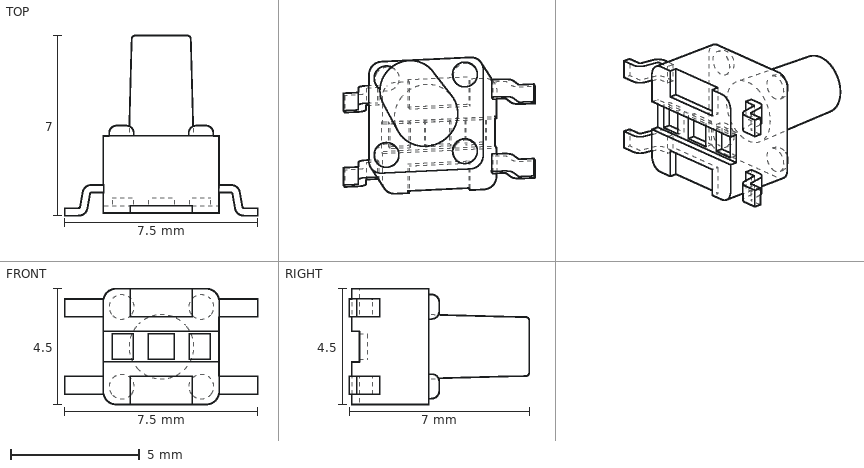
import cadquery as cq
import math


HOUSING_SIDE = 4.5
HOUSING_DEPTH = 3.0
HOUSING_CORNER_RADIUS = 0.5

RECESS_DEPTH = 0.3
EDGE_NOTCH_WIDTH = 2.4
EDGE_NOTCH_HEIGHT = 1.1
GROOVE_HEIGHT = 1.185
POCKET_DEPTH = 0.3
POCKET_HEIGHT = 0.99
MIDDLE_POCKET_WIDTH = 1.0
SIDE_POCKET_WIDTH = 0.81
SIDE_POCKET_OFFSET = 1.5

PLUNGER_LENGTH = 3.9
PLUNGER_BASE_DIAMETER = 2.505
PLUNGER_TIP_DIAMETER = 2.295
PLUNGER_TIP_FILLET = 0.15

RIVET_DIAMETER = 0.96
RIVET_HEIGHT = 0.405
RIVET_FILLET = 0.3
RIVET_OFFSET = 1.545

LEAD_SPAN = 7.5
LEAD_THICKNESS = 0.3
LEAD_WIDTH = 0.705
LEAD_OFFSET_Z = 1.5
LEAD_HEIGHT = 1.2
LEAD_STANDOFF = 0.1
LEAD_ROOT_LENGTH = 0.46
LEAD_INNER_BEND_RADIUS = 0.05
LEAD_BEND_ANGLE = math.radians(80)

HALF_SIDE = HOUSING_SIDE / 2
SIGNS = (-1, 1)


def make_block():
    """Square block with its four edges along Y rounded."""
    block = cq.Workplane("XY").box(HOUSING_SIDE, HOUSING_DEPTH, HOUSING_SIDE, centered=(True, False, True))
    return block.edges("|Y").fillet(HOUSING_CORNER_RADIUS)


def make_recess(width, height, x, z, floor_y):
    """Box that cuts from the mounting face up to floor_y, centred at (x, z)."""
    return cq.Workplane("XY").box(width, floor_y, height, centered=(True, False, True)).translate((x, 0, z))


def cut_mounting_face(housing):
    """Cut two edge notches, a groove right across and three pockets in the groove floor."""
    notch_z = HALF_SIDE - EDGE_NOTCH_HEIGHT / 2
    for sign in SIGNS:
        housing = housing.cut(make_recess(EDGE_NOTCH_WIDTH, EDGE_NOTCH_HEIGHT, 0, sign * notch_z, RECESS_DEPTH))

    housing = housing.cut(make_recess(HOUSING_SIDE, GROOVE_HEIGHT, 0, 0, RECESS_DEPTH))

    pockets = (
        (-SIDE_POCKET_OFFSET, SIDE_POCKET_WIDTH),
        (0, MIDDLE_POCKET_WIDTH),
        (SIDE_POCKET_OFFSET, SIDE_POCKET_WIDTH),
    )
    for x, width in pockets:
        housing = housing.cut(make_recess(width, POCKET_HEIGHT, x, 0, RECESS_DEPTH + POCKET_DEPTH))
    return housing


def make_plunger():
    """Tapered round plunger with a rounded tip."""
    tip_y = HOUSING_DEPTH + PLUNGER_LENGTH
    profile = (
        cq.Workplane("XY")
        .moveTo(0, HOUSING_DEPTH)
        .lineTo(PLUNGER_BASE_DIAMETER / 2, HOUSING_DEPTH)
        .lineTo(PLUNGER_TIP_DIAMETER / 2, tip_y)
        .lineTo(0, tip_y)
        .close()
    )
    plunger = profile.revolve(360, (0, 0, 0), (0, 1, 0))
    return plunger.faces(">Y").edges().fillet(PLUNGER_TIP_FILLET)


def make_rivet(x, z):
    """Short round head with a domed rim, standing on the plunger side of the housing."""
    rivet = (
        cq.Workplane("XZ", origin=(x, HOUSING_DEPTH, z))
        .circle(RIVET_DIAMETER / 2)
        .extrude(-RIVET_HEIGHT)
    )
    return rivet.faces(">Y").edges().fillet(RIVET_FILLET)


def make_housing():
    """Block, plunger and four rivet heads as one solid."""
    housing = cut_mounting_face(make_block()).union(make_plunger())
    for x_sign in SIGNS:
        for z_sign in SIGNS:
            housing = housing.union(make_rivet(x_sign * RIVET_OFFSET, z_sign * RIVET_OFFSET))
    return housing


def make_lead(side, z, housing):
    """Gull-wing strip swept along its centre line; its root is trimmed to fit the housing surface."""
    bend_radius = LEAD_INNER_BEND_RADIUS + LEAD_THICKNESS / 2
    bend_run = bend_radius * math.sin(LEAD_BEND_ANGLE)
    bend_drop = bend_radius * (1 - math.cos(LEAD_BEND_ANGLE))
    half_bend_run = bend_radius * math.sin(LEAD_BEND_ANGLE / 2)
    half_bend_drop = bend_radius * (1 - math.cos(LEAD_BEND_ANGLE / 2))

    foot_y = LEAD_THICKNESS / 2 - LEAD_STANDOFF
    root_y = foot_y + LEAD_HEIGHT - LEAD_THICKNESS
    leg_drop = root_y - foot_y - 2 * bend_drop
    leg_run = leg_drop / math.tan(LEAD_BEND_ANGLE)

    start_x = HALF_SIDE - HOUSING_CORNER_RADIUS
    upper_bend_x = HALF_SIDE + LEAD_ROOT_LENGTH
    lower_bend_x = upper_bend_x + 2 * bend_run + leg_run

    centre_line = (
        cq.Workplane("XY", origin=(0, 0, z))
        .moveTo(side * start_x, root_y)
        .lineTo(side * upper_bend_x, root_y)
        .threePointArc(
            (side * (upper_bend_x + half_bend_run), root_y - half_bend_drop),
            (side * (upper_bend_x + bend_run), root_y - bend_drop),
        )
        .lineTo(side * (lower_bend_x - bend_run), foot_y + bend_drop)
        .threePointArc(
            (side * (lower_bend_x - half_bend_run), foot_y + half_bend_drop),
            (side * lower_bend_x, foot_y),
        )
        .lineTo(side * LEAD_SPAN / 2, foot_y)
    )
    section = cq.Workplane("YZ", origin=(side * start_x, root_y, z)).rect(LEAD_THICKNESS, LEAD_WIDTH)
    return section.sweep(centre_line).cut(housing)


housing = make_housing()
leads = [make_lead(side, z_sign * LEAD_OFFSET_Z, housing) for side in SIGNS for z_sign in SIGNS]

result = cq.Compound.makeCompound([housing.solids().val(), *[lead.solids().val() for lead in leads]])